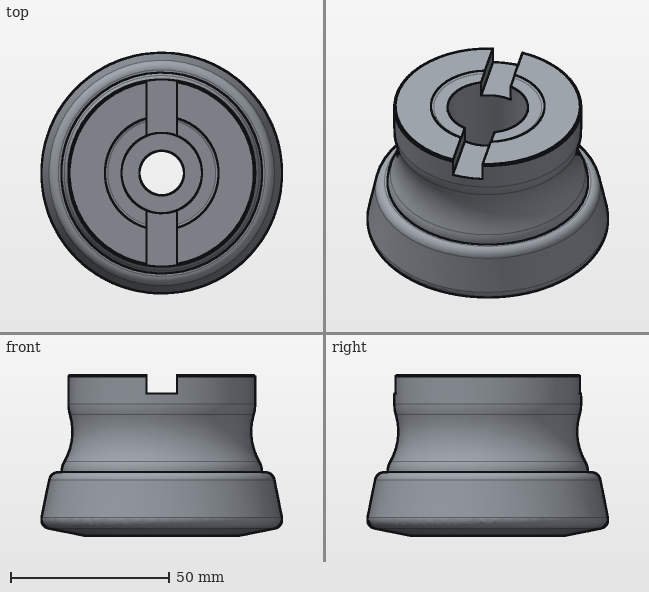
import cadquery as cq
import math

OUTER_DIAMETER = 76.15
TOTAL_HEIGHT = 50.8

BASE_HEIGHT = 20.2
BASE_TAPER = math.radians(11.3)
BASE_FILLET = 3.05
BASE_FOOT_RADIUS = 24.3
BASE_HOLE_DIAMETER = 14.0

COLLAR_DIAMETER = 59.15
COLLAR_CHAMFER = 0.45
COLLAR_FOOT_DIAMETER = 63.5
COLLAR_BORE_DIAMETER = 25.4
SHOULDER_Z = 41.7
WAIST_TOP_Z = 38.3
WAIST_TOP_RADIUS = 29.1
WAIST_BOTTOM_Z = 23.45
WAIST_BOTTOM_RADIUS = 30.8

RECESS_TOP_DIAMETER = 35.95
RECESS_FLOOR_DIAMETER = 34.1
RECESS_DEPTH = 0.45
SLOT_WIDTH = 9.6
SLOT_DEPTH = 5.8


def make_base():
    """Cone-sided disc with a conical underside, rounded edges and a through hole."""
    fillet_centre_radius = OUTER_DIAMETER / 2 - BASE_FILLET
    corner_radius = fillet_centre_radius + BASE_FILLET * (math.cos(BASE_TAPER) + math.sin(BASE_TAPER))
    corner_z = (corner_radius - BASE_FOOT_RADIUS) * math.tan(BASE_TAPER)
    top_radius = corner_radius - (BASE_HEIGHT - corner_z) * math.tan(BASE_TAPER)
    blank = (
        cq.Workplane("XZ")
        .moveTo(0, 0)
        .lineTo(BASE_FOOT_RADIUS, 0)
        .lineTo(corner_radius, corner_z)
        .lineTo(top_radius, BASE_HEIGHT)
        .lineTo(0, BASE_HEIGHT)
        .close()
        .revolve(360, (0, 0, 0), (0, 1, 0))
    )
    top_edge = cq.selectors.RadiusNthSelector(1)
    widest_edge = cq.selectors.RadiusNthSelector(2)
    rounded = blank.edges(top_edge + widest_edge).fillet(BASE_FILLET)
    hole = cq.Workplane("XY").circle(BASE_HOLE_DIAMETER / 2).extrude(BASE_HEIGHT)
    return rounded.cut(hole)


def make_collar_blank():
    """Waisted ring with a straight chamfered rim and a through bore."""
    rim_radius = COLLAR_DIAMETER / 2
    bore_radius = COLLAR_BORE_DIAMETER / 2
    return (
        cq.Workplane("XZ")
        .moveTo(bore_radius, TOTAL_HEIGHT)
        .lineTo(rim_radius - COLLAR_CHAMFER, TOTAL_HEIGHT)
        .lineTo(rim_radius, TOTAL_HEIGHT - COLLAR_CHAMFER)
        .lineTo(rim_radius, SHOULDER_Z)
        .tangentArcPoint((WAIST_TOP_RADIUS, WAIST_TOP_Z), relative=False)
        .tangentArcPoint((WAIST_BOTTOM_RADIUS, WAIST_BOTTOM_Z), relative=False)
        .tangentArcPoint((COLLAR_FOOT_DIAMETER / 2, BASE_HEIGHT), relative=False)
        .lineTo(bore_radius, BASE_HEIGHT)
        .close()
        .revolve(360, (0, 0, 0), (0, 1, 0))
    )


def make_recess():
    """Shallow recess around the bore, its concave wall tangent to its flat floor."""
    floor_z = TOTAL_HEIGHT - RECESS_DEPTH
    return (
        cq.Workplane("XZ")
        .moveTo(0, floor_z)
        .lineTo(RECESS_FLOOR_DIAMETER / 2, floor_z)
        .tangentArcPoint((RECESS_TOP_DIAMETER / 2, TOTAL_HEIGHT), relative=False)
        .lineTo(0, TOTAL_HEIGHT)
        .close()
        .revolve(360, (0, 0, 0), (0, 1, 0))
    )


def make_slot():
    """Cross slot through the whole collar along Y, open at the top."""
    return cq.Workplane("XY", origin=(0, 0, TOTAL_HEIGHT - SLOT_DEPTH)).rect(
        SLOT_WIDTH, OUTER_DIAMETER
    ).extrude(SLOT_DEPTH)


def make_collar():
    """Finished collar with its recess and driving slot."""
    return make_collar_blank().cut(make_recess()).cut(make_slot())


base = make_base()
collar = make_collar()

result = cq.Compound.makeCompound([base.val(), collar.val()])